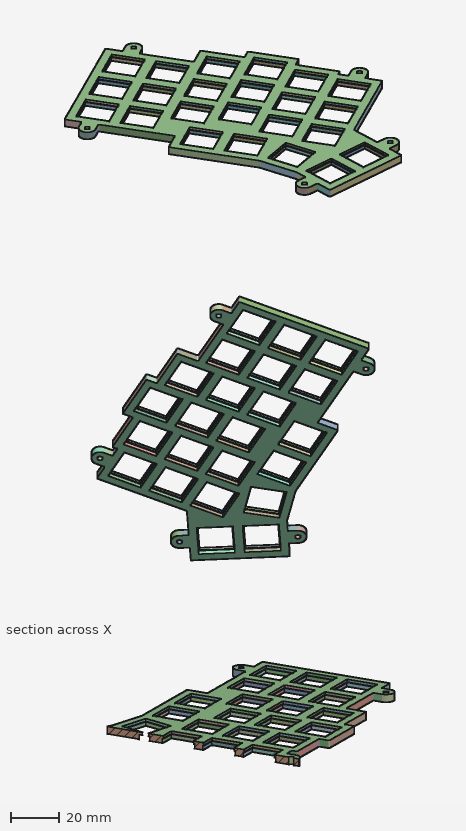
import cadquery as cq
import math


thickness = 3.4
key_pitch = 19.05
cell_reach = 11.0
corner_radius = 0.4

cutout_side = 14.2
pocket_side = 15.0
lip_thickness = 1.4

hole_standoff = 4.0
tab_reach = cell_reach + hole_standoff
tab_radius = 3.6
screw_hole_diameter = 2.2

stagger = key_pitch / 8
column_rise = [steps * stagger for steps in (0, 0, 4, 6, 4, 3)]
last_column = len(column_rise) - 1
row_offsets = (-key_pitch, 0, key_pitch)

thumb_x = 2.5 * key_pitch
thumb_y = column_rise[2] - 2 * key_pitch
tilted_centre = (87.25, -31.25)
tilted_angle = -15
fan_upper = (115.97, -22.71)
fan_angle = -30


def offset(centre, angle, across, along):
    """Point moved from a centre along axes turned by an angle in degrees."""
    cosine = math.cos(math.radians(angle))
    sine = math.sin(math.radians(angle))
    return (centre[0] + across * cosine - along * sine, centre[1] + across * sine + along * cosine)


def crossing(point_a, angle_a, point_b, angle_b):
    """Intersection of two lines, each given by a point and a direction in degrees."""
    direction_a = (math.cos(math.radians(angle_a)), math.sin(math.radians(angle_a)))
    direction_b = (math.cos(math.radians(angle_b)), math.sin(math.radians(angle_b)))
    gap = (point_b[0] - point_a[0], point_b[1] - point_a[1])
    distance = gap[0] * direction_b[1] - gap[1] * direction_b[0]
    distance /= direction_a[0] * direction_b[1] - direction_a[1] * direction_b[0]
    return (point_a[0] + distance * direction_a[0], point_a[1] + distance * direction_a[1])


def column_left(column):
    return column * key_pitch - cell_reach


def column_right(column):
    return column * key_pitch + cell_reach


def column_top(column):
    return column_rise[column] + key_pitch + cell_reach


fan_lower = offset(fan_upper, fan_angle, 0, -key_pitch)

finger_keys = [
    ((column * key_pitch, rise + row), 0)
    for column, rise in enumerate(column_rise)
    for row in row_offsets
]
thumb_keys = [
    ((thumb_x, thumb_y), 0),
    ((thumb_x + key_pitch, thumb_y), 0),
    (tilted_centre, tilted_angle),
    (fan_upper, fan_angle),
    (fan_lower, fan_angle),
]

tabs = [
    ((0, column_rise[0] + key_pitch), 0, 1),
    ((0, column_rise[0] - key_pitch), 0, -1),
    ((last_column * key_pitch, column_rise[last_column] + key_pitch), 0, 1),
    (fan_upper, fan_angle, 1),
    (fan_lower, fan_angle, -1),
]


def make_plate():
    """Flat plate whose sharp-cornered outline follows the outer edges of the key cells."""
    left = column_left(0)
    right = column_right(last_column)
    bottom = column_rise[0] - key_pitch - cell_reach
    thumb_corner = (thumb_x - cell_reach, thumb_y - cell_reach)
    tilted_edge = offset(tilted_centre, tilted_angle, 0, -cell_reach)
    fan_bottom_edge = offset(fan_lower, fan_angle, 0, -cell_reach)
    fan_top_edge = offset(fan_upper, fan_angle, 0, cell_reach)
    outline = [
        (left, bottom),
        (thumb_corner[0], bottom),
        thumb_corner,
        crossing(thumb_corner, 0, tilted_edge, tilted_angle),
        crossing(tilted_edge, tilted_angle, fan_bottom_edge, fan_angle),
        offset(fan_lower, fan_angle, cell_reach, -cell_reach),
        offset(fan_upper, fan_angle, cell_reach, cell_reach),
        crossing((right, 0), 90, fan_top_edge, fan_angle),
        (right, column_top(last_column)),
        (column_right(4), column_top(last_column)),
        (column_right(4), column_top(4)),
        (column_right(3), column_top(4)),
        (column_right(3), column_top(3)),
        (column_left(3), column_top(3)),
        (column_left(3), column_top(2)),
        (column_left(2), column_top(2)),
        (column_left(2), column_top(1)),
        (left, column_top(0)),
    ]
    return cq.Workplane("XY").polyline(outline).close().extrude(thickness)


def make_tab(key_centre, angle, side):
    """Round-ended tab that starts inside the plate and ends around its screw hole."""
    root_reach = cell_reach - tab_radius
    middle = offset(key_centre, angle, 0, side * (root_reach + tab_reach) / 2)
    length = tab_reach - root_reach + 2 * tab_radius
    return (
        cq.Workplane("XY")
        .center(*middle)
        .slot2D(length, 2 * tab_radius, angle + 90)
        .extrude(thickness)
    )


def make_screw_holes():
    centres = [offset(key_centre, angle, 0, side * tab_reach) for key_centre, angle, side in tabs]
    return cq.Workplane("XY").pushPoints(centres).circle(screw_hole_diameter / 2).extrude(thickness)


def make_square_prisms(side, height):
    """One square prism per key, standing on the underside of the plate."""
    prisms = [
        cq.Workplane("XY")
        .rect(side, side)
        .extrude(height)
        .rotate((0, 0, 0), (0, 0, 1), angle)
        .translate((*centre, 0))
        .val()
        for centre, angle in finger_keys + thumb_keys
    ]
    return cq.Workplane(cq.Compound.makeCompound(prisms))


result = make_plate()
for tab in tabs:
    result = result.union(make_tab(*tab))
result = result.clean().edges("|Z").fillet(corner_radius)
result = result.cut(make_screw_holes())
result = result.cut(make_square_prisms(cutout_side, thickness))
result = result.cut(make_square_prisms(pocket_side, thickness - lip_thickness))